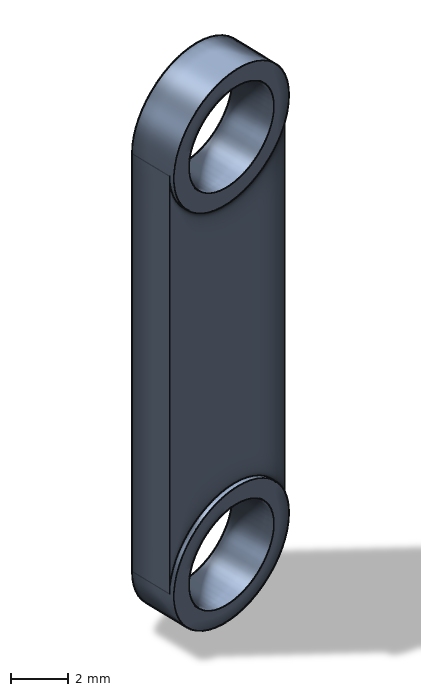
import cadquery as cq

length = 25.5
width = 6.0
end_thickness = 2.0
plate_thickness = 1.78
hole_diameter = 4.4

hole_spacing = length - width
end_centers = [(0, -hole_spacing / 2), (0, hole_spacing / 2)]


def end_discs(diameter):
    """Two full-thickness cylinders along X, one at each end of the link."""
    return cq.Workplane("YZ").pushPoints(end_centers).circle(diameter / 2).extrude(end_thickness)


plate = cq.Workplane("YZ").rect(width, hole_spacing).extrude(plate_thickness)

link = plate.union(end_discs(width)).cut(end_discs(hole_diameter))

result = link.translate((-end_thickness / 2, 0, 0))